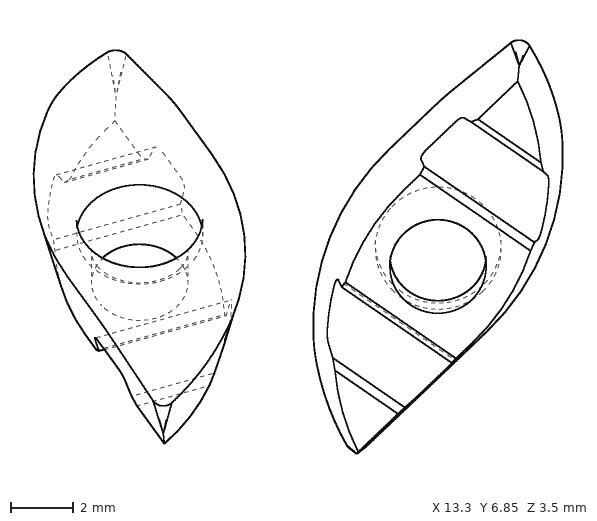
import math

import cadquery as cq

thickness = 3.5
relief_angle = 11.0
arc_radius = 8.2
arc_center = cq.Vector(1.22, 4.89)
flank_angle = 2.6

corner_apex_height = 0.9

land_direction = 57.5
land_slope = 14.3
land_start = 4.64
land_blend_radius = 3.1
land_reach = 20.0
land_clearance = 1.0

bore_radius = 1.55
seat_radius = 2.03
seat_depth = 1.0
bore_depth = 1.95
rim_radius = 0.2

slot_angle = 77.3
slot_depth = 1.2
slot_inner_offset = 2.40
slot_outer_offset = 4.48
slot_outer_wall_angle = 13.5
slot_fillet = 0.3
slot_chamfer = 0.25
slot_reach = 10.0

relief = math.tan(math.radians(relief_angle))


def half_turn(shape):
    return shape.rotate((0, 0, 0), (0, 0, 1), 180)


def lens_outline():
    """Lens with sharp tips, at the height of the corner apexes."""
    radius = arc_radius - (thickness - corner_apex_height) * relief
    angle = math.radians(flank_angle)
    along = cq.Vector(math.cos(angle), -math.sin(angle))
    inward = cq.Vector(math.sin(angle), math.cos(angle))
    tangent_point = arc_center - inward * radius

    opposite_center = -arc_center
    height = (opposite_center - tangent_point).dot(inward)
    tip = opposite_center - inward * height + along * math.sqrt(radius**2 - height**2)

    start = -tip
    chord_bisector = ((start - arc_center) + (tangent_point - arc_center)).normalized()
    arc_middle = arc_center + chord_bisector * radius

    return (
        cq.Workplane("XY", origin=(0, 0, corner_apex_height))
        .moveTo(start.x, start.y)
        .threePointArc(arc_middle.toTuple()[:2], tangent_point.toTuple()[:2])
        .lineTo(tip.x, tip.y)
        .threePointArc((-arc_middle).toTuple()[:2], (-tangent_point).toTuple()[:2])
        .close()
    )


def make_body():
    lower = lens_outline().extrude(-corner_apex_height, taper=relief_angle)
    upper = lens_outline().extrude(thickness - corner_apex_height, taper=-relief_angle)
    return lower.union(upper)


def land_cutter():
    """Everything above the sloped land and its blend into the top face."""
    slope = math.radians(land_slope)
    tangent_length = land_blend_radius * math.tan(slope / 2)
    blend_start = land_start - tangent_length
    blend_center_z = thickness - land_blend_radius

    def blend_point(angle):
        return (
            blend_start + land_blend_radius * math.sin(angle),
            blend_center_z + land_blend_radius * math.cos(angle),
        )

    drop = (land_reach - land_start) * math.tan(slope)
    profile = (
        cq.Workplane("XZ")
        .moveTo(blend_start, thickness)
        .threePointArc(blend_point(slope / 2), blend_point(slope))
        .lineTo(land_reach, thickness - drop)
        .lineTo(land_reach, thickness + land_clearance)
        .lineTo(blend_start, thickness + land_clearance)
        .close()
        .extrude(land_reach, both=True)
    )
    return profile.rotate((0, 0, 0), (0, 0, 1), land_direction + 90)


def hole_cutter():
    """Clamping hole: rounded rim, straight seat wall, convex seat and through bore."""
    seat_width = seat_radius - bore_radius
    seat_height = bore_depth - seat_depth
    curve_sweep = 2 * math.atan2(seat_width, seat_height)
    curve_radius = seat_height / math.sin(curve_sweep)
    curve_middle = (
        bore_radius + curve_radius * (1 - math.cos(curve_sweep / 2)),
        thickness - bore_depth + curve_radius * math.sin(curve_sweep / 2),
    )
    rim_shift = rim_radius * (1 - math.sqrt(0.5))
    return (
        cq.Workplane("XZ")
        .lineTo(bore_radius, 0)
        .lineTo(bore_radius, thickness - bore_depth)
        .threePointArc(curve_middle, (seat_radius, thickness - seat_depth))
        .lineTo(seat_radius, thickness - rim_radius)
        .threePointArc(
            (seat_radius + rim_shift, thickness - rim_shift),
            (seat_radius + rim_radius, thickness),
        )
        .lineTo(0, thickness)
        .close()
        .revolve(360, (0, 0, 0), (0, 1, 0))
    )


def slot_cutter():
    """Underside slot: upright inner wall, leaning outer wall, filleted floor, chamfered mouth."""
    lean = (slot_depth - slot_chamfer) * math.tan(math.radians(slot_outer_wall_angle))
    slot = (
        cq.Workplane("XZ")
        .moveTo(slot_inner_offset - slot_chamfer, 0)
        .lineTo(slot_inner_offset, slot_chamfer)
        .lineTo(slot_inner_offset, slot_depth)
        .lineTo(slot_outer_offset - lean, slot_depth)
        .lineTo(slot_outer_offset, slot_chamfer)
        .lineTo(slot_outer_offset + slot_chamfer, 0)
        .close()
        .extrude(slot_reach, both=True)
    )
    floor_edges = slot.faces(">Z").edges("|Y")
    return floor_edges.fillet(slot_fillet).rotate((0, 0, 0), (0, 0, 1), slot_angle + 90)


body = make_body().cut(hole_cutter())
for cutter in (land_cutter(), slot_cutter()):
    body = body.cut(cutter).cut(half_turn(cutter))

result = body